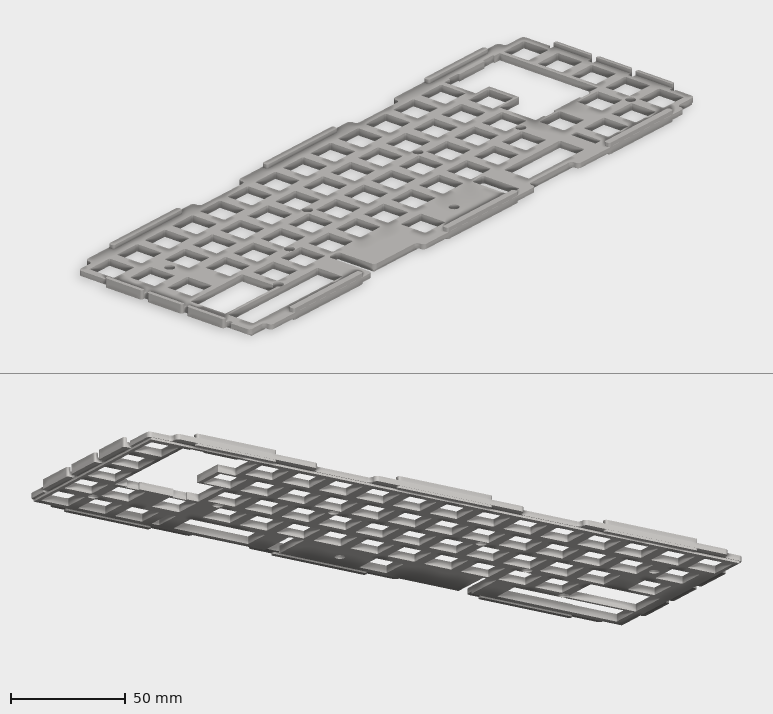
import cadquery as cq
pitch = 19.05
key_size = 14.0
key_corner = 0.5
row_x = [pitch * (row - 2) for row in range(5)]

number_row = [7.5] + [4.5 - k for k in range(13)]
upper_row = [7.5] + [5.0 - k for k in range(12)] + [-7.25]
home_row = [7.5] + [4.25 - k for k in range(11)] + [-7.125]
lower_row = [7.5, 6.5, 5.125] + [3.75 - k for k in range(10)]
space_row = [7.5, 6.5, 5.5, -1.125]
key_rows = [number_row, upper_row, home_row, lower_row, space_row]

ledge_z = 1.0
plate_top = 3.5
total_height = 5.5

body_half_x = 48.4
body_half_y = 153.4
wing_half_x = 104.9 / 2
tab_half_y = 311.21 / 2
outline_corner = 1.8
notch_corner = 0.6
notch_depth = 1.5
notch_floor_y = body_half_y - notch_depth
base_inset_x = 0.3
base_inset_y = 1.55

wing_spans = [(68.3, 141.2), (-38.3, 38.7), (-143.6, -69.3)]
side_slot_top = -67.5
side_slot_bottom = -74.2
slot_inner_x = 27.8

rail_width = 3.1
rail_setback = 0.1
rail_outer_x = wing_half_x - rail_setback
lower_rail_width = 2.5
upright_corner = 1.0
left_rails = [(89.7, 130.9), (-21.8, 26.8), (-127.8, -80.1)]
right_rails = [(89.7, 133.8)] + left_rails[1:]
tab_thickness = 1.8
tab_spans = [(-31.5, -10.8), (-7.7, 11.8), (14.6, 35.3)]
notch_spans = [(-33.3, -31.5), (-10.8, -7.7), (11.8, 14.6), (35.3, 37.6)]

hole_diameter = 4.8
round_holes = [
    (1.5, 7.0),
    (0.5, 4.25),
    (-0.5, 1.75),
    (2.0, 0.0),
    (-0.5, -2.25),
    (0.5, -4.125),
    (1.5, -5.75),
    (-1.0, -6.625),
]


def box(x_span, y_span, z_span):
    """Upright box between two corners."""
    size = [span[1] - span[0] for span in (x_span, y_span, z_span)]
    corner = (x_span[0], y_span[0], z_span[0])
    return cq.Workplane("XY").box(*size, centered=False).translate(corner)


def opening(x_span, y_span, corner=key_corner):
    """Cutter for a through opening with rounded corners."""
    return box(x_span, y_span, (0, total_height)).edges("|Z").fillet(corner)


def mirrored_span(side, inner, outer):
    """Ordered span from inner to outer distance, on the positive or negative side."""
    return sorted((side * inner, side * outer))


def side_slot(z_span):
    """Cutter for the slot that enters from the +X side."""
    return box((slot_inner_x, wing_half_x), (side_slot_bottom, side_slot_top), z_span)


def ledge_plate():
    """Upper layer: body with wings, side slot and the notches beside the end tabs."""
    z_span = (ledge_z, plate_top)
    plate = box((-body_half_x, body_half_x), (-body_half_y, body_half_y), z_span)
    for y_span in wing_spans:
        plate = plate.union(box((-wing_half_x, wing_half_x), y_span, z_span))
    plate = plate.cut(side_slot(z_span))
    plate = plate.edges("|Z").fillet(outline_corner)
    for side in (-1, 1):
        y_span = mirrored_span(side, notch_floor_y, body_half_y)
        for x_span in notch_spans:
            notch = box(x_span, y_span, z_span)
            floor = "<Y" if side > 0 else ">Y"
            plate = plate.cut(notch.faces(floor).edges("|Z").fillet(notch_corner))
    return plate


def base():
    """Lower layer, set back from the body outline, further at the ends than along the sides."""
    half_x = body_half_x - base_inset_x
    half_y = body_half_y - base_inset_y
    z_span = (0, ledge_z)
    return box((-half_x, half_x), (-half_y, half_y), z_span).cut(side_slot(z_span))


def rail(side, y_span):
    """Upper and lower strips along the outer edge of one wing."""
    upper_x = mirrored_span(side, wing_half_x - rail_width, rail_outer_x)
    lower_x = mirrored_span(side, wing_half_x - lower_rail_width, rail_outer_x)
    upper = box(upper_x, y_span, (plate_top, total_height))
    lower = box(lower_x, y_span, (0, ledge_z))
    return [strip.edges("|Z").fillet(upright_corner).val() for strip in (upper, lower)]


def end_tab(side, x_span):
    """Web reaching out from the plate, with a raised wall along its outer edge."""
    web_y = mirrored_span(side, notch_floor_y, tab_half_y)
    wall_y = mirrored_span(side, tab_half_y - tab_thickness, tab_half_y)
    web = box(x_span, web_y, (ledge_z, plate_top))
    outer = ">Y" if side > 0 else "<Y"
    tab = web.union(box(x_span, wall_y, (ledge_z, total_height)))
    return tab.faces(outer).edges("|Z").fillet(upright_corner).val()


def key_openings():
    half = key_size / 2
    key = opening((-half, half), (-half, half)).val()
    places = [(x, y * pitch) for x, row in zip(row_x, key_rows) for y in row]
    return [key.translate(cq.Vector(x, y, 0)) for x, y in places]


def slot_openings():
    row5 = (row_x[4] - key_size / 2, row_x[4] + key_size / 2)
    return [
        opening(row5, (89.0, 92.8)).val(),
        opening(row5, (43.0, 81.5)).val(),
        opening(row5, (-147.3, -85.6)).val(),
        opening((9.8, 29.6), (-147.3, -111.6)).val(),
        opening((slot_inner_x, body_half_x), (24.9, 32.6), 0.9).val(),
    ]


def encoder_opening():
    points = [
        (-45.5, 133.8), (9.8, 133.8),
        (9.8, 127.7), (10.8, 127.7), (10.8, 121.2), (9.8, 121.2),
        (9.8, 103.7), (10.8, 103.7), (10.8, 96.7), (9.8, 96.7),
        (9.8, 90.9), (-10.8, 90.9), (-10.8, 104.6), (-27.7, 104.6), (-27.7, 95.5),
        (-45.5, 95.5),
        (-45.5, 99.5), (-46.4, 99.5), (-46.4, 106.0), (-45.5, 106.0),
        (-45.5, 123.3), (-46.4, 123.3), (-46.4, 130.3), (-45.5, 130.3),
    ]
    return cq.Workplane("XY").polyline(points).close().extrude(total_height)


def screw_holes():
    places = [(x * pitch, y * pitch) for x, y in round_holes]
    return cq.Workplane("XY").pushPoints(places).circle(hole_diameter / 2).extrude(total_height)


additions = [base().val()]
for side, spans in ((-1, left_rails), (1, right_rails)):
    for y_span in spans:
        additions += rail(side, y_span)
for side in (-1, 1):
    for x_span in tab_spans:
        additions.append(end_tab(side, x_span))

cutters = key_openings() + slot_openings() + encoder_opening().vals() + screw_holes().vals()
result = cq.Workplane(ledge_plate().val().fuse(*additions).cut(*cutters)).clean()